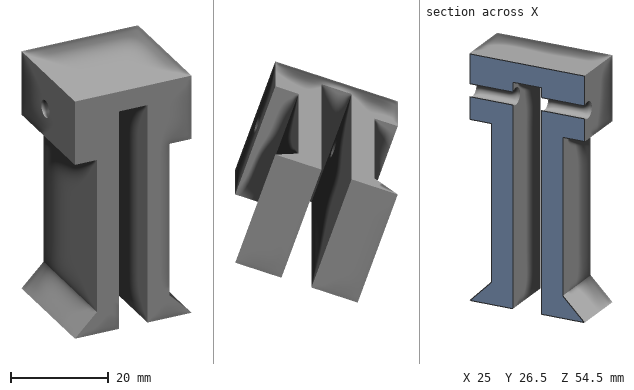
import cadquery as cq

width = 25.0
depth = 26.5
height = 54.55

head_height = 14.55
overhang = 5.0
foot_height = overhang
slot_width = 6.5
slot_roof = 4.55

hole_diameter = 3.8
hole_from_left = 11.2
hole_from_top = 8.1

half_depth = depth / 2
half_slot = slot_width / 2
leg_face = half_depth - overhang
head_bottom = height - head_height
slot_top = height - slot_roof

half_outline = [
    (0, height),
    (half_depth, height),
    (half_depth, head_bottom),
    (leg_face, head_bottom),
    (leg_face, foot_height),
    (half_depth, 0),
    (half_slot, 0),
    (half_slot, slot_top),
    (0, slot_top),
]

body = (
    cq.Workplane("YZ")
    .polyline(half_outline)
    .mirrorY()
    .extrude(width / 2, both=True)
)

hole = (
    cq.Workplane("XZ")
    .center(hole_from_left - width / 2, height - hole_from_top)
    .circle(hole_diameter / 2)
    .extrude(half_depth, both=True)
)

result = body.cut(hole)